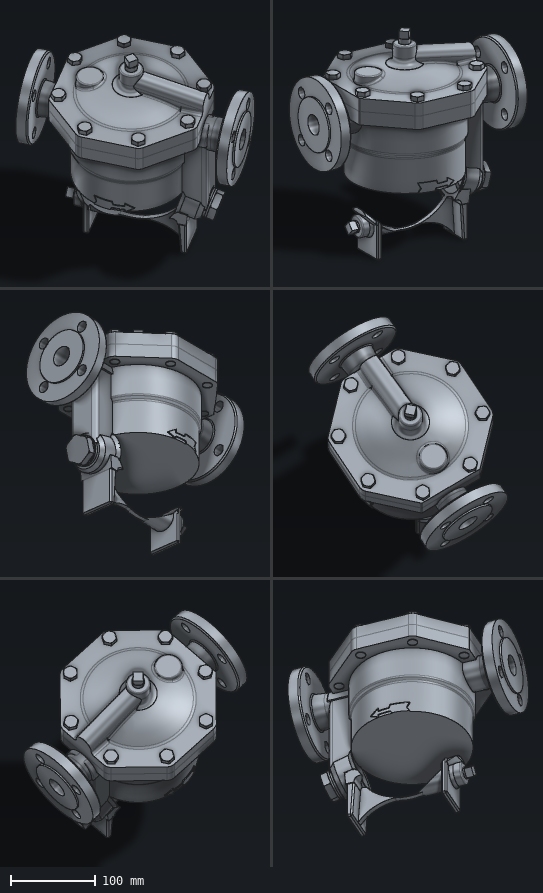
import cadquery as cq
import math


OCTAGON_SIDES = 8
OCTAGON_FLATS = 184.8
OCTAGON_CORNER_RADIUS = 12.0
OCTAGON_INLET_X = -90.0
JOINT_BOTTOM_Z = 5.5
COVER_SEAT_Z = 22.6
COVER_TOP_Z = 39.2
BOLT_COUNT = 8
BOLT_CIRCLE_RADIUS = 86.6
BOLT_HEAD_CORNERS = 18.0
BOLT_HEAD_HEIGHT = 6.2
BOLT_HEAD_CHAMFER = 0.9
BOLT_DIAMETER = 12.0
BOLT_END_LENGTH = 0.8

DOME_RADIUS = 68.7
DOME_APEX_Z = 53.0
DOME_FOOT_RISE = 0.8
DOME_FOOT_WIDTH = 3.3
DOME_BLEND = 2.5

QUARTER_ROUND_SHARE = 1 - math.sqrt(0.5)

PLUG_BOSS_DIAMETER = 28.6
PLUG_BOSS_TOP_Z = 77.6
PLUG_BOSS_FLARE_RADIUS = 22.5
PLUG_BOSS_FLARE_BOTTOM_Z = 51.8
PLUG_BOSS_FLARE_TOP_Z = 62.3
BOSS_EDGE_RADIUS = 1.6
PLUG_STEM_DIAMETER = 14.4
PLUG_STEM_LENGTH = 6.8
PLUG_SQUARE = 12.0
PLUG_SQUARE_LENGTH = 9.8

SIDE_BOSS_X = -51.0
SIDE_BOSS_RADIUS = 16.6
SIDE_BOSS_TOP_Z = 51.8
SIDE_BOSS_FOOT_RADIUS = 3.2

PASSAGE_DIAMETER = 25.0
PASSAGE_SLOPE = 9.75
PASSAGE_END_X = OCTAGON_FLATS / 2
PASSAGE_END_Z = 45.4
PASSAGE_FOOT_RADIUS = 5.0

UPPER_BODY_RADIUS = 75.3
LOWER_BODY_RADIUS = 72.3
BODY_STEP_TOP_Z = -35.8
BODY_STEP_BOTTOM_Z = -41.0
BODY_STEP_FILLET = 4.5
BODY_BOTTOM_Z = -86.2
ARROW_HEIGHT = 1.3
ARROW_OUTLINE = [
    (-25.1, -73.3), (-1.5, -73.3), (0.0, -77.6), (13.9, -77.6), (13.9, -73.3), (25.1, -80.4),
    (14.5, BODY_BOTTOM_Z), (13.9, -82.9), (-2.1, -82.9), (-3.6, BODY_BOTTOM_Z),
    (-25.1, BODY_BOTTOM_Z), (-21.5, -80.4),
]

FLANGE_DIAMETER = 115.0
FLANGE_THICKNESS = 14.6
FLANGE_EDGE_CHAMFER = 1.8
FACE_DIAMETER = 68.0
FACE_HEIGHT = 2.3
INLET_FACE_X = -128.0
OUTLET_FACE_X = 138.0
FLANGE_HOLE_DIAMETER = 14.0
FLANGE_HOLE_COUNT = 4
FLANGE_HOLE_CIRCLE_RADIUS = 42.3
PORT_DIAMETER = 25.0
PORT_DEPTH = 50.0
NECK_DIAMETER = 41.0
NECK_ROOT_DIAMETER = 47.6
NECK_TAPER_DIAMETER = 44.4
NECK_ROOT_LENGTH = 1.5
NECK_TAPER_LENGTH = 15.4
NECK_INNER_X = 60.0

COLUMN_OUTER_X = 99.8
COLUMN_INNER_X = 60.0
COLUMN_TOP_Z = -4.0
COLUMN_BOTTOM_Z = -108.0
COLUMN_EDGE_RADIUS = 6.3
COLUMN_HEAD_RADIUS = 23.0
COLUMN_HEAD_Z = -2.6
COLUMN_HEAD_FILLET = 1.5

STRAINER_TILT = 15.0
STRAINER_X = 64.8
STRAINER_Z = -103.4
STRAINER_FLARE_RADIUS = 29.0
STRAINER_FLARE_LENGTH = 5.0
STRAINER_RADIUS = 25.2
STRAINER_STRAIGHT_END = 24.4
STRAINER_NOSE_RADIUS = 21.5
STRAINER_NOSE_END = 31.0
STRAINER_NECK_RADIUS = 18.5
STRAINER_HEX_START = 36.5
STRAINER_HEX_END = 46.0
STRAINER_HEX_CORNERS = 38.5
STRAINER_HEX_CHAMFER = 1.2
STRAINER_MOUTH_RADIUS = 23.5
STRAINER_MOUTH_END = 22.0
STRAINER_BORE_RADIUS = 18.2
STRAINER_BORE_END = 34.0

FOOT_BOTTOM_Z = -181.9
FOOT_WIDTH = 45.8
FOOT_CHAMFER = 2.0
INLET_FOOT_OUTER_X = -53.2
OUTLET_FOOT_OUTER_X = 75.1
FOOT_THICKNESS = 7.3
INLET_FOOT_INNER_X = INLET_FOOT_OUTER_X + FOOT_THICKNESS
INLET_FOOT_TRIM_Z = -126.0
OUTLET_FOOT_HEAD_WIDTH = 48.4
OUTLET_FOOT_HEAD_BOTTOM_Z = -135.0
OUTLET_FOOT_TAPER = 3.4
OUTLET_FOOT_HEAD_OUTER = (77.0, -117.5)
OUTLET_FOOT_HEAD_INNER = (61.0, -115.0)
OUTLET_FOOT_HEAD_TOE = (54.5, -128.0)
OUTLET_FOOT_HEAD_THROAT = (61.5, -128.5)
RIB_WIDTH = 7.0
RIB_TIP = (15.0, -157.0)
RIB_ARC_MIDDLE = (46.0, -162.0)
RIB_TOP_Z = -127.0

DRAIN_Z = -142.5
DRAIN_BOSS_RADIUS = 14.0
DRAIN_BOSS_END_X = -67.6
DRAIN_COLLAR_RADIUS = 16.0
DRAIN_COLLAR_LENGTH = 4.5
DRAIN_FLARE_RADIUS = 22.5
DRAIN_FLARE_THICKNESS = 4.0
DRAIN_FLARE_START_X = -66.5
DRAIN_FLARE_END_X = -63.7
DRAIN_FLARE_MIDDLE = (-64.7, 17.0)
DRAIN_STEM_LENGTH = 2.1
DRAIN_SQUARE_LENGTH = 9.3

KEEL_START_X = -15.0
KEEL_END_X = 22.0
KEEL_THICKNESS = 1.2

INLET_DIRECTION = -1
OUTLET_DIRECTION = 1


def x_cylinder(start_x, end_x, radius, z=0.0):
    return cq.Workplane("YZ", origin=(start_x, 0, z)).circle(radius).extrude(end_x - start_x)


def x_box(start_x, end_x, width, bottom_z, top_z):
    box = cq.Workplane("XY").box(end_x - start_x, width, top_z - bottom_z, centered=(False, True, False))
    return box.translate((start_x, 0, bottom_z))


def edges_in(shape, low_corner, high_corner):
    return shape.edges(cq.selectors.BoxSelector(low_corner, high_corner))


def octagon_plate(bottom_z, top_z):
    half_side_angle = 180.0 / OCTAGON_SIDES
    circumscribed = OCTAGON_FLATS / math.cos(math.radians(half_side_angle))
    plate = (
        cq.Workplane("XY", origin=(0, 0, bottom_z))
        .transformed(rotate=(0, 0, half_side_angle))
        .polygon(OCTAGON_SIDES, circumscribed)
        .extrude(top_z - bottom_z)
        .edges("|Z")
        .fillet(OCTAGON_CORNER_RADIUS)
    )
    return plate.intersect(x_box(OCTAGON_INLET_X, OCTAGON_FLATS, 2 * OCTAGON_FLATS, bottom_z, top_z))


def around_bolt_circle(shape):
    """One copy of a shape, given for the bolt circle point on +X, at every bolt position."""
    pitch = 360.0 / BOLT_COUNT
    ring = shape.rotate((0, 0, 0), (0, 0, 1), pitch / 2)
    for index in range(1, BOLT_COUNT):
        ring = ring.union(shape.rotate((0, 0, 0), (0, 0, 1), (index + 0.5) * pitch))
    return ring


def bolt_heads():
    hexagon = (
        cq.Workplane("XY", origin=(0, 0, COVER_TOP_Z))
        .polygon(6, BOLT_HEAD_CORNERS)
        .extrude(BOLT_HEAD_HEIGHT)
    )
    crown = (
        cq.Workplane("XY", origin=(0, 0, COVER_TOP_Z))
        .circle(BOLT_HEAD_CORNERS / 2)
        .extrude(BOLT_HEAD_HEIGHT)
        .faces(">Z")
        .chamfer(BOLT_HEAD_CHAMFER)
    )
    turn = -1.5 * 360.0 / BOLT_COUNT
    head = hexagon.intersect(crown).rotate((0, 0, 0), (0, 0, 1), turn)
    return around_bolt_circle(head.translate((BOLT_CIRCLE_RADIUS, 0, 0)))


def bolt_ends():
    end = (
        cq.Workplane("XY", origin=(BOLT_CIRCLE_RADIUS, 0, JOINT_BOTTOM_Z))
        .circle(BOLT_DIAMETER / 2)
        .extrude(-BOLT_END_LENGTH)
    )
    return around_bolt_circle(end)


def dome_sphere_radius():
    edge_radius = DOME_RADIUS - DOME_FOOT_WIDTH
    rise = DOME_APEX_Z - COVER_TOP_Z - DOME_FOOT_RISE
    return (edge_radius**2 + rise**2) / (2 * rise)


def dome_cap():
    """Cap of the dome sphere, reaching out past the cover so that blends run out below its top."""
    sphere_radius = dome_sphere_radius()
    cap = cq.Workplane("XY").sphere(sphere_radius).translate((0, 0, DOME_APEX_Z - sphere_radius))
    return cap.intersect(x_box(-OCTAGON_FLATS, OCTAGON_FLATS, 2 * OCTAGON_FLATS, JOINT_BOTTOM_Z, DOME_APEX_Z))


def dome_foot():
    """Conical step from the cover top up to the edge of the dome."""
    edge_radius = DOME_RADIUS - DOME_FOOT_WIDTH
    return (
        cq.Workplane("XY", origin=(0, 0, COVER_TOP_Z))
        .circle(DOME_RADIUS)
        .workplane(offset=DOME_FOOT_RISE)
        .circle(edge_radius)
        .loft()
    )


def square_plug(stem_length, square_length):
    """Square-head plug standing on the XY plane, with its corners on X and Y."""
    stem = cq.Workplane("XY").circle(PLUG_STEM_DIAMETER / 2).extrude(stem_length)
    head = (
        cq.Workplane("XY", origin=(0, 0, stem_length))
        .rect(PLUG_SQUARE, PLUG_SQUARE)
        .extrude(square_length)
        .rotate((0, 0, 0), (0, 0, 1), 45)
    )
    return stem.union(head)


def plug_boss():
    radius = PLUG_BOSS_DIAMETER / 2
    flare_width = PLUG_BOSS_FLARE_RADIUS - radius
    flare_height = PLUG_BOSS_FLARE_TOP_Z - PLUG_BOSS_FLARE_BOTTOM_Z
    arc_middle_radius = radius + QUARTER_ROUND_SHARE * flare_width
    arc_middle_z = PLUG_BOSS_FLARE_BOTTOM_Z + QUARTER_ROUND_SHARE * flare_height
    boss = (
        cq.Workplane("XZ")
        .moveTo(0, COVER_TOP_Z)
        .lineTo(PLUG_BOSS_FLARE_RADIUS, COVER_TOP_Z)
        .lineTo(PLUG_BOSS_FLARE_RADIUS, PLUG_BOSS_FLARE_BOTTOM_Z)
        .threePointArc(
            (arc_middle_radius, arc_middle_z),
            (radius, PLUG_BOSS_FLARE_TOP_Z),
        )
        .lineTo(radius, PLUG_BOSS_TOP_Z)
        .lineTo(0, PLUG_BOSS_TOP_Z)
        .close()
        .revolve(360, (0, 0, 0), (0, 1, 0))
        .faces(">Z")
        .edges()
        .fillet(BOSS_EDGE_RADIUS)
    )
    plug = square_plug(PLUG_STEM_LENGTH, PLUG_SQUARE_LENGTH).translate((0, 0, PLUG_BOSS_TOP_Z))
    return boss.union(plug)


def side_boss():
    return (
        cq.Workplane("XY", origin=(SIDE_BOSS_X, 0, COVER_SEAT_Z))
        .circle(SIDE_BOSS_RADIUS)
        .extrude(SIDE_BOSS_TOP_Z - COVER_SEAT_Z)
        .faces(">Z")
        .edges()
        .fillet(BOSS_EDGE_RADIUS)
    )


def sloping_passage():
    """Half-round roof over straight walls, running down from the plug boss to the cover edge."""
    slope = math.tan(math.radians(PASSAGE_SLOPE))
    start_z = PASSAGE_END_Z + slope * PASSAGE_END_X
    length = 2 * PASSAGE_END_X
    roof = (
        cq.Workplane("YZ")
        .circle(PASSAGE_DIAMETER / 2)
        .extrude(length)
        .rotate((0, 0, 0), (0, 1, 0), PASSAGE_SLOPE)
        .translate((0, 0, start_z))
    )
    walls = (
        cq.Workplane("XZ")
        .polyline([
            (0, COVER_SEAT_Z),
            (PASSAGE_END_X, COVER_SEAT_Z),
            (PASSAGE_END_X, PASSAGE_END_Z),
            (0, start_z),
        ])
        .close()
        .extrude(PASSAGE_DIAMETER / 2, both=True)
    )
    reach = x_box(0, PASSAGE_END_X, OCTAGON_FLATS, COVER_SEAT_Z, PLUG_BOSS_TOP_Z)
    return roof.intersect(reach).union(walls)


def passage_feet():
    """Concave fillets where the passage walls stand on the flat rim of the cover."""
    half = PASSAGE_DIAMETER / 2
    section = (
        cq.Workplane("YZ", origin=(DOME_RADIUS - DOME_FOOT_WIDTH, 0, COVER_TOP_Z))
        .moveTo(0, 0)
        .lineTo(half + PASSAGE_FOOT_RADIUS, 0)
        .threePointArc(
            (half + QUARTER_ROUND_SHARE * PASSAGE_FOOT_RADIUS, QUARTER_ROUND_SHARE * PASSAGE_FOOT_RADIUS),
            (half, PASSAGE_FOOT_RADIUS),
        )
        .lineTo(0, PASSAGE_FOOT_RADIUS)
        .close()
        .extrude(PASSAGE_END_X - DOME_RADIUS + DOME_FOOT_WIDTH)
    )
    return section.union(section.mirror("XZ"))


def body():
    shape = (
        cq.Workplane("XZ")
        .polyline([
            (0, JOINT_BOTTOM_Z),
            (UPPER_BODY_RADIUS, JOINT_BOTTOM_Z),
            (UPPER_BODY_RADIUS, BODY_STEP_TOP_Z),
            (LOWER_BODY_RADIUS, BODY_STEP_BOTTOM_Z),
            (LOWER_BODY_RADIUS, BODY_BOTTOM_Z),
            (0, BODY_BOTTOM_Z),
        ])
        .close()
        .revolve(360, (0, 0, 0), (0, 1, 0))
    )
    low = (-UPPER_BODY_RADIUS, -UPPER_BODY_RADIUS, BODY_STEP_BOTTOM_Z - BODY_STEP_FILLET)
    high = (UPPER_BODY_RADIUS, UPPER_BODY_RADIUS, BODY_STEP_TOP_Z + BODY_STEP_FILLET)
    return edges_in(shape, low, high).edges("%CIRCLE").fillet(BODY_STEP_FILLET)


def flow_arrows():
    """Raised arrows on the -Y and +Y sides, both pointing to the outlet."""
    skin = (
        cq.Workplane("XY", origin=(0, 0, BODY_BOTTOM_Z))
        .circle(LOWER_BODY_RADIUS + ARROW_HEIGHT)
        .extrude(BODY_STEP_BOTTOM_Z - BODY_BOTTOM_Z)
    )
    bars = cq.Workplane("XZ").polyline(ARROW_OUTLINE).close().extrude(UPPER_BODY_RADIUS, both=True)
    return bars.intersect(skin)


def pipe_connection(face_x, direction):
    """Flange and neck along X; direction points from the body out to the flange face."""
    disc_outer = abs(face_x) - FACE_HEIGHT
    disc_inner = disc_outer - FLANGE_THICKNESS
    taper_outer = disc_inner - NECK_ROOT_LENGTH
    profile = [
        (NECK_INNER_X, 0),
        (NECK_INNER_X, NECK_DIAMETER / 2),
        (taper_outer - NECK_TAPER_LENGTH, NECK_DIAMETER / 2),
        (taper_outer, NECK_TAPER_DIAMETER / 2),
        (disc_inner, NECK_ROOT_DIAMETER / 2),
        (disc_inner, FLANGE_DIAMETER / 2 - FLANGE_EDGE_CHAMFER),
        (disc_inner + FLANGE_EDGE_CHAMFER, FLANGE_DIAMETER / 2),
        (disc_outer, FLANGE_DIAMETER / 2),
        (disc_outer, FACE_DIAMETER / 2),
        (abs(face_x), FACE_DIAMETER / 2),
        (abs(face_x), 0),
    ]
    connection = (
        cq.Workplane("XZ")
        .polyline([(direction * x, radius) for x, radius in profile])
        .close()
        .revolve(360, (0, 0, 0), (1, 0, 0))
    )
    holes = (
        cq.Workplane("YZ", origin=(face_x, 0, 0))
        .polarArray(FLANGE_HOLE_CIRCLE_RADIUS, 45, 360, FLANGE_HOLE_COUNT)
        .circle(FLANGE_HOLE_DIAMETER / 2)
        .extrude(-direction * (FACE_HEIGHT + FLANGE_THICKNESS))
    )
    return connection.cut(holes)


def pipe_port(face_x, direction):
    return x_cylinder(face_x, face_x - direction * PORT_DEPTH, PORT_DIAMETER / 2)


def column():
    """Outlet column with a round head about the neck."""
    shaft = (
        x_box(COLUMN_INNER_X, COLUMN_OUTER_X, NECK_DIAMETER, COLUMN_BOTTOM_Z, COLUMN_TOP_Z)
        .edges("|Z and >X")
        .fillet(COLUMN_EDGE_RADIUS)
    )
    head = (
        x_cylinder(COLUMN_INNER_X, COLUMN_OUTER_X, COLUMN_HEAD_RADIUS, COLUMN_HEAD_Z)
        .faces(">X")
        .edges()
        .fillet(COLUMN_HEAD_FILLET)
    )
    below_head = x_box(COLUMN_INNER_X, COLUMN_OUTER_X, OCTAGON_FLATS, COLUMN_BOTTOM_Z, COLUMN_TOP_Z)
    return shaft.union(head.cut(below_head))


def place_on_strainer_axis(shape):
    """Move a shape built along +X onto the strainer axis, which falls toward the outlet side."""
    tilted = shape.rotate((0, 0, 0), (0, 1, 0), STRAINER_TILT)
    return tilted.translate((STRAINER_X, 0, STRAINER_Z))


def strainer_boss():
    boss = (
        cq.Workplane("XZ")
        .polyline([
            (0, 0),
            (0, STRAINER_FLARE_RADIUS),
            (STRAINER_FLARE_LENGTH, STRAINER_RADIUS),
            (STRAINER_STRAIGHT_END, STRAINER_RADIUS),
            (STRAINER_NOSE_END, STRAINER_NOSE_RADIUS),
            (STRAINER_NOSE_END, STRAINER_NECK_RADIUS),
            (STRAINER_HEX_START, STRAINER_NECK_RADIUS),
            (STRAINER_HEX_START, 0),
        ])
        .close()
        .revolve(360, (0, 0, 0), (1, 0, 0))
    )
    hex_length = STRAINER_HEX_END - STRAINER_HEX_START
    hexagon = (
        cq.Workplane("YZ", origin=(STRAINER_HEX_START, 0, 0))
        .transformed(rotate=(0, 0, 90))
        .polygon(6, STRAINER_HEX_CORNERS)
        .extrude(hex_length)
    )
    crown = (
        x_cylinder(STRAINER_HEX_START, STRAINER_HEX_END, STRAINER_HEX_CORNERS / 2)
        .faces("<X or >X")
        .chamfer(STRAINER_HEX_CHAMFER)
    )
    return place_on_strainer_axis(boss.union(hexagon.intersect(crown)))


def strainer_bore():
    mouth = x_cylinder(-STRAINER_RADIUS, STRAINER_MOUTH_END, STRAINER_MOUTH_RADIUS)
    seat = x_cylinder(0, STRAINER_BORE_END, STRAINER_BORE_RADIUS)
    return place_on_strainer_axis(mouth.union(seat))


def outlet_foot():
    """Tapered foot plate with a wider head under the strainer boss and a rib below the bowl."""
    sole_inner_x = OUTLET_FOOT_OUTER_X - FOOT_THICKNESS
    waist_inner_x = sole_inner_x - OUTLET_FOOT_TAPER
    head_bottom = (waist_inner_x, OUTLET_FOOT_HEAD_BOTTOM_Z)
    plate_top_z = OUTLET_FOOT_HEAD_BOTTOM_Z + 1.5 * FOOT_CHAMFER
    plate = (
        cq.Workplane("XZ")
        .polyline([
            (sole_inner_x, FOOT_BOTTOM_Z),
            (OUTLET_FOOT_OUTER_X, FOOT_BOTTOM_Z),
            (OUTLET_FOOT_OUTER_X, plate_top_z),
            (waist_inner_x, plate_top_z),
        ])
        .close()
        .extrude(FOOT_WIDTH / 2, both=True)
        .edges("(not #Z) or <Z")
        .chamfer(FOOT_CHAMFER)
    )
    head = (
        cq.Workplane("XZ")
        .moveTo(*head_bottom)
        .lineTo(OUTLET_FOOT_OUTER_X, OUTLET_FOOT_HEAD_BOTTOM_Z)
        .lineTo(*OUTLET_FOOT_HEAD_OUTER)
        .lineTo(*OUTLET_FOOT_HEAD_INNER)
        .lineTo(*OUTLET_FOOT_HEAD_TOE)
        .threePointArc(OUTLET_FOOT_HEAD_THROAT, head_bottom)
        .close()
        .extrude(OUTLET_FOOT_HEAD_WIDTH / 2, both=True)
    )
    rib = (
        cq.Workplane("XZ")
        .moveTo(*RIB_TIP)
        .threePointArc(RIB_ARC_MIDDLE, (sole_inner_x, FOOT_BOTTOM_Z + FOOT_CHAMFER))
        .lineTo(sole_inner_x, RIB_TOP_Z)
        .lineTo(RIB_TIP[0], RIB_TOP_Z)
        .close()
        .extrude(RIB_WIDTH / 2, both=True)
    )
    return plate.union(head).union(rib)


def bowl(radius):
    return cq.Workplane("XY").sphere(radius).translate((0, 0, BODY_BOTTOM_Z))


def drain_flare():
    """Concave flare where the drain boss spreads into the bowl surface, kept close to that surface."""
    sweep = (
        cq.Workplane("XZ")
        .moveTo(DRAIN_FLARE_START_X, 0)
        .lineTo(DRAIN_FLARE_START_X, DRAIN_BOSS_RADIUS)
        .threePointArc(DRAIN_FLARE_MIDDLE, (DRAIN_FLARE_END_X, DRAIN_FLARE_RADIUS))
        .lineTo(INLET_FOOT_INNER_X, DRAIN_FLARE_RADIUS)
        .lineTo(INLET_FOOT_INNER_X, 0)
        .close()
        .revolve(360, (0, 0, 0), (1, 0, 0))
        .translate((0, 0, DRAIN_Z))
    )
    return sweep.intersect(bowl(LOWER_BODY_RADIUS + DRAIN_FLARE_THICKNESS))


def inlet_foot():
    plate = (
        x_box(INLET_FOOT_OUTER_X, INLET_FOOT_INNER_X, FOOT_WIDTH, FOOT_BOTTOM_Z, INLET_FOOT_TRIM_Z)
        .edges("|Z or <Z")
        .chamfer(FOOT_CHAMFER)
    )
    boss = (
        x_cylinder(DRAIN_BOSS_END_X, INLET_FOOT_OUTER_X, DRAIN_BOSS_RADIUS, DRAIN_Z)
        .faces("<X")
        .edges()
        .fillet(BOSS_EDGE_RADIUS)
    )
    collar = (
        cq.Workplane("YZ", origin=(INLET_FOOT_OUTER_X - DRAIN_COLLAR_LENGTH, 0, DRAIN_Z))
        .circle(DRAIN_BOSS_RADIUS)
        .workplane(offset=DRAIN_COLLAR_LENGTH)
        .circle(DRAIN_COLLAR_RADIUS)
        .loft()
    )
    spout = x_cylinder(INLET_FOOT_OUTER_X, 0, DRAIN_COLLAR_RADIUS, DRAIN_Z)
    plug = (
        square_plug(DRAIN_STEM_LENGTH, DRAIN_SQUARE_LENGTH)
        .rotate((0, 0, 0), (0, 1, 0), -90)
        .translate((DRAIN_BOSS_END_X, 0, DRAIN_Z))
    )
    return plate.union(boss).union(collar).union(spout).union(drain_flare()).union(plug)


def keel():
    """Thin strip along the lowest part of the bowl surface, joining the two feet."""
    shell = bowl(LOWER_BODY_RADIUS + KEEL_THICKNESS).cut(bowl(LOWER_BODY_RADIUS))
    return shell.intersect(x_box(KEEL_START_X, KEEL_END_X, RIB_WIDTH, FOOT_BOTTOM_Z, BODY_BOTTOM_Z))


def dome_with_side_boss():
    low = (SIDE_BOSS_X - SIDE_BOSS_RADIUS, -SIDE_BOSS_RADIUS, COVER_SEAT_Z)
    high = (SIDE_BOSS_X + SIDE_BOSS_RADIUS, SIDE_BOSS_RADIUS, SIDE_BOSS_TOP_Z - BOSS_EDGE_RADIUS)
    return edges_in(dome_cap().union(side_boss()), low, high).fillet(SIDE_BOSS_FOOT_RADIUS)


def dome_with_passage():
    low = (PASSAGE_END_X / 3, -PASSAGE_DIAMETER, COVER_SEAT_Z)
    high = (PASSAGE_END_X * 2 / 3, PASSAGE_DIAMETER, DOME_APEX_Z)
    return edges_in(dome_cap().union(sloping_passage()), low, high).fillet(DOME_BLEND)


def dome():
    domes = dome_with_side_boss().union(dome_with_passage())
    return domes.intersect(octagon_plate(COVER_SEAT_Z, PLUG_BOSS_TOP_Z))


def cover():
    shape = octagon_plate(COVER_SEAT_Z, COVER_TOP_Z).union(dome_foot())
    shape = shape.union(dome()).union(plug_boss()).union(passage_feet())
    return shape.union(bolt_heads())


def lower_parts():
    """Outlet column, strainer boss and feet, trimmed back to the bowl surface under it."""
    outlet_side = column().union(strainer_boss()).union(outlet_foot()).cut(strainer_bore())
    return outlet_side.union(inlet_foot()).cut(bowl(LOWER_BODY_RADIUS)).union(keel())


def case():
    shape = body().union(octagon_plate(JOINT_BOTTOM_Z, COVER_SEAT_Z)).union(flow_arrows()).union(bolt_ends())
    shape = shape.union(lower_parts())
    connections = ((INLET_FACE_X, INLET_DIRECTION), (OUTLET_FACE_X, OUTLET_DIRECTION))
    for face_x, direction in connections:
        shape = shape.union(pipe_connection(face_x, direction))
    for face_x, direction in connections:
        shape = shape.cut(pipe_port(face_x, direction))
    return shape


result = case().union(cover(), clean=False)